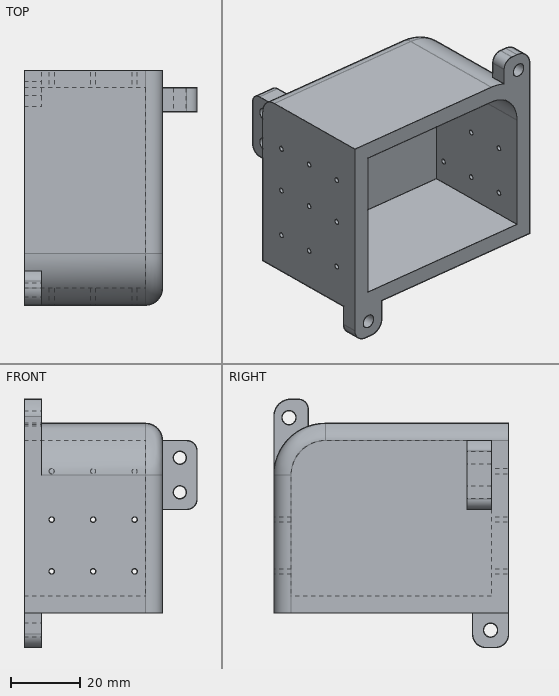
import cadquery as cq

BOX_DEPTH = 40.0
BOX_WIDTH = 68.0
BOX_HEIGHT = 55.0
WALL = 5.0
CORNER_RADIUS = 15.0
BACK_EDGE_RADIUS = 5.0

LUG_THICKNESS = 5.0
LUG_HOLE_DIAMETER = 4.0

UPPER_LUG_WIDTH = 10.0
UPPER_LUG_RISE = 7.0
UPPER_LUG_OUTER_RADIUS = 5.0
UPPER_LUG_INNER_RADIUS = 3.0
UPPER_LUG_HOLE_Y = 4.4
UPPER_LUG_HOLE_BELOW_TOP = 5.4

LOWER_LUG_WIDTH = 10.5
LOWER_LUG_DROP = 10.0
LOWER_LUG_RADIUS = 4.0
LOWER_LUG_HOLE_DROP = 4.9

TAB_LENGTH = 10.0
TAB_THICKNESS = 7.0
TAB_HEIGHT = 20.0
TAB_BOTTOM_Z = 30.0
TAB_INSET = 5.0
TAB_CORNER_RADIUS = 3.0
TAB_HOLE_DIAMETER = 3.7
TAB_HOLE_PITCH = 10.0

SIDE_HOLE_DIAMETER = 1.5
SIDE_HOLE_FIRST_X = 7.9
SIDE_HOLE_PITCH_X = 12.0
SIDE_HOLE_COLUMNS = 3
LOWER_ROW_GAP = 15.0
UPPER_ROW_GAP = 14.0
LOWER_ROW_Z = 12.1
MIDDLE_ROW_Z = LOWER_ROW_Z + LOWER_ROW_GAP
UPPER_ROW_Z = MIDDLE_ROW_Z + UPPER_ROW_GAP
FRONT_WALL_ROWS = (LOWER_ROW_Z, MIDDLE_ROW_Z)
REAR_WALL_ROWS = (LOWER_ROW_Z, MIDDLE_ROW_Z, UPPER_ROW_Z)


def block(x_range, y_range, z_range):
    """Box spanning the given (low, high) ranges."""
    ranges = (x_range, y_range, z_range)
    sizes = [high - low for low, high in ranges]
    corner = tuple(low for low, high in ranges)
    return cq.Workplane("XY").box(*sizes, centered=False).translate(corner)


def cylinder(diameter, length, start, direction):
    """Cylinder that begins at a point and runs along a direction."""
    solid = cq.Solid.makeCylinder(diameter / 2, length, cq.Vector(*start), cq.Vector(*direction))
    return cq.Workplane(obj=solid)


def make_shell():
    """Outer body, still solid, with its front top corner and back edge rounded."""
    body = block((0, BOX_DEPTH), (0, BOX_WIDTH), (0, BOX_HEIGHT))
    body = body.edges("|X and <Y and >Z").fillet(CORNER_RADIUS)
    return body.edges(">X and >Z").fillet(BACK_EDGE_RADIUS)


def make_cavity():
    """Pocket that leaves an even wall on every side but the open face."""
    cavity = block(
        (0, BOX_DEPTH - WALL),
        (WALL, BOX_WIDTH - WALL),
        (WALL, BOX_HEIGHT - WALL),
    )
    return cavity.edges("|X and <Y and >Z").fillet(CORNER_RADIUS - WALL)


def make_upper_lug():
    """Lug that squares off the rounded corner and rises above the box."""
    bottom = BOX_HEIGHT - CORNER_RADIUS
    top = BOX_HEIGHT + UPPER_LUG_RISE
    lug = block((0, LUG_THICKNESS), (0, UPPER_LUG_WIDTH), (bottom, top))
    lug = lug.edges("|X and <Y and >Z").fillet(UPPER_LUG_OUTER_RADIUS)
    lug = lug.edges("|X and >Y and >Z").fillet(UPPER_LUG_INNER_RADIUS)
    hole_start = (0, UPPER_LUG_HOLE_Y, top - UPPER_LUG_HOLE_BELOW_TOP)
    return lug.cut(cylinder(LUG_HOLE_DIAMETER, LUG_THICKNESS, hole_start, (1, 0, 0)))


def make_lower_lug():
    """Lug that hangs below the box at its rear side."""
    lug = block(
        (0, LUG_THICKNESS),
        (BOX_WIDTH - LOWER_LUG_WIDTH, BOX_WIDTH),
        (-LOWER_LUG_DROP, 0),
    )
    lug = lug.edges("|X and <Z").fillet(LOWER_LUG_RADIUS)
    hole_start = (0, BOX_WIDTH - LOWER_LUG_WIDTH / 2, -LOWER_LUG_HOLE_DROP)
    return lug.cut(cylinder(LUG_HOLE_DIAMETER, LUG_THICKNESS, hole_start, (1, 0, 0)))


def make_tab():
    """Upright tab on the back wall with two cross holes."""
    tab_end = BOX_DEPTH + TAB_LENGTH
    y_high = BOX_WIDTH - TAB_INSET
    y_low = y_high - TAB_THICKNESS
    tab = block(
        (BOX_DEPTH - WALL, tab_end),
        (y_low, y_high),
        (TAB_BOTTOM_Z, TAB_BOTTOM_Z + TAB_HEIGHT),
    )
    tab = tab.edges("|Y and >X").fillet(TAB_CORNER_RADIUS)
    middle_z = TAB_BOTTOM_Z + TAB_HEIGHT / 2
    for offset in (-TAB_HOLE_PITCH / 2, TAB_HOLE_PITCH / 2):
        hole_start = (BOX_DEPTH + TAB_LENGTH / 2, y_low, middle_z + offset)
        tab = tab.cut(cylinder(TAB_HOLE_DIAMETER, TAB_THICKNESS, hole_start, (0, 1, 0)))
    return tab


def cut_side_holes(body, wall_start_y, row_heights):
    """Drill a grid of small holes through one side wall."""
    for z in row_heights:
        for column in range(SIDE_HOLE_COLUMNS):
            x = SIDE_HOLE_FIRST_X + column * SIDE_HOLE_PITCH_X
            body = body.cut(cylinder(SIDE_HOLE_DIAMETER, WALL, (x, wall_start_y, z), (0, 1, 0)))
    return body


housing = make_shell().union(make_upper_lug()).union(make_lower_lug()).union(make_tab())
housing = housing.cut(make_cavity())
housing = cut_side_holes(housing, 0, FRONT_WALL_ROWS)
result = cut_side_holes(housing, BOX_WIDTH - WALL, REAR_WALL_ROWS)